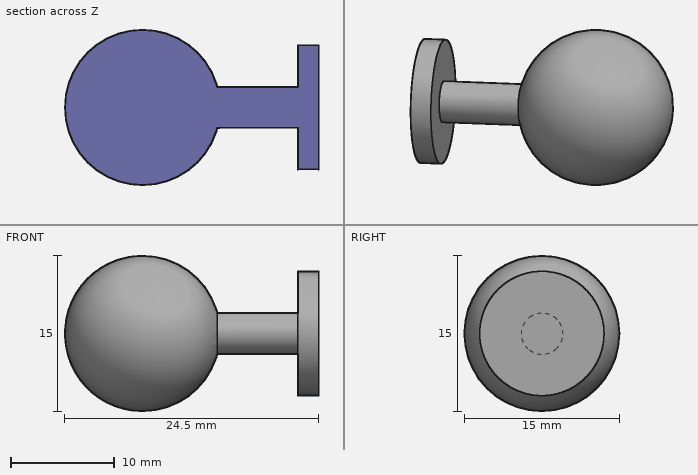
import cadquery as cq

overall_length = 24.5
ball_diameter = 15.0
stem_diameter = 4.0
flange_diameter = 12.0
flange_thickness = 2.0

ball_radius = ball_diameter / 2
flange_outer_x = overall_length - ball_radius
flange_inner_x = flange_outer_x - flange_thickness


def disc_along_x(start_x, diameter, length):
    """Cylinder on the X axis, extending from start_x toward +X."""
    return cq.Workplane("YZ", origin=(start_x, 0, 0)).circle(diameter / 2).extrude(length)


ball = cq.Workplane("XY").sphere(ball_radius)

stem = disc_along_x(0, stem_diameter, flange_inner_x)

flange = disc_along_x(flange_inner_x, flange_diameter, flange_thickness)

result = ball.union(stem).union(flange)